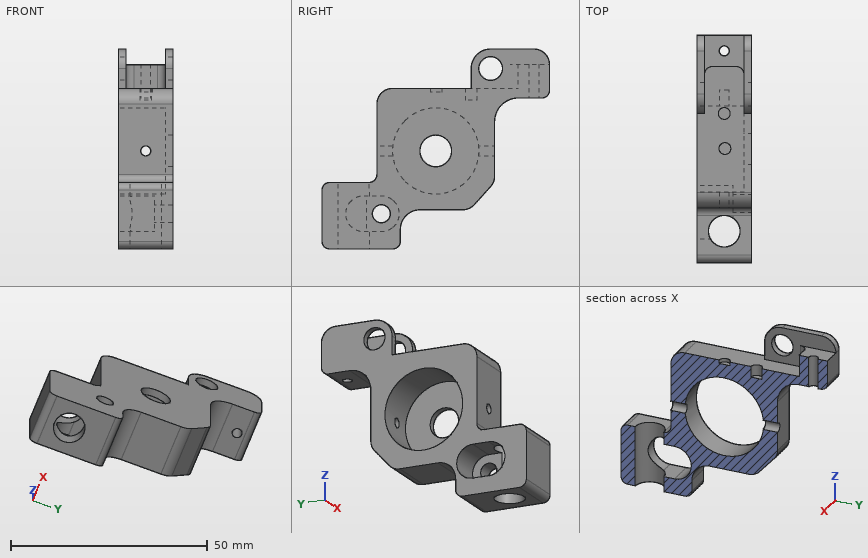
import cadquery as cq

width = 14.0
length = 58.0
height = 51.0

small_radius = 2.0
large_radius = 4.0

body_front = 14.0
body_back = 44.0
body_bottom = 10.0
body_top = 40.95
chamfer_y = 6.4
chamfer_z = 7.1

block_back = 20.0
block_top = 17.0
block_blend_radius = 5.0

fork_front = 38.0
fork_bottom = 38.45
fork_nose_radius = 5.0
fork_blend_radius = 6.0
ear_thickness = 2.0
web_front = 50.0
web_top = 47.0
pin_diameter = 6.0
pin_y = 43.0
pin_z = 46.0

bore_y = 29.0
bore_z = 25.0
bore_diameter = 22.0
bore_depth = 12.0
shaft_diameter = 8.0

slot_front_y = 10.6
slot_back_y = 15.15
slot_z = 9.0
slot_diameter = 9.1
slot_depth = 9.3
slot_screw_diameter = 4.5
post_y = 8.05
post_diameter = 8.0

cross_diameter = 2.5
web_hole_y = 54.0
top_hole_diameter = 3.0
deep_hole_depth = 3.0
shallow_hole_depth = 1.0
top_holes = [(0, 38.05, deep_hole_depth), (0.2, 29.1, shallow_hole_depth)]


def hole_x(y, z, diameter, depth):
    """Cylinder entering from the -X face."""
    plane = cq.Workplane("YZ", origin=(-width / 2, 0, 0))
    return plane.center(y, z).circle(diameter / 2).extrude(depth)


def hole_z(x, y, diameter, bottom, top):
    """Vertical cylinder between two heights."""
    plane = cq.Workplane("XY", origin=(x, y, bottom))
    return plane.circle(diameter / 2).extrude(top - bottom)


corners = [
    (0, 0, small_radius),
    (0, block_top, small_radius),
    (body_front, block_top, small_radius),
    (body_front, body_top, large_radius),
    (fork_front, body_top, 0),
    (fork_front, height, fork_nose_radius),
    (length, height, large_radius),
    (length, fork_bottom, small_radius),
    (body_back, fork_bottom, fork_blend_radius),
    (body_back, body_bottom + chamfer_z, large_radius),
    (body_back - chamfer_y, body_bottom, large_radius),
    (block_back, body_bottom, block_blend_radius),
    (block_back, 0, small_radius),
]
outline = [(y, z) for y, z, radius in corners]
part = cq.Workplane("YZ").polyline(outline).close().extrude(width / 2, both=True)
for y, z, radius in corners:
    if radius > 0:
        edge = part.edges(cq.selectors.NearestToPointSelector((0, y, z)))
        part = edge.fillet(radius)

gap = width - 2 * ear_thickness
pocket = (
    cq.Workplane("XY", origin=(0, 0, body_top))
    .rect(gap, 2 * (web_front - fork_front))
    .extrude(height - body_top)
    .edges("|Z and >Y")
    .fillet(small_radius)
    .translate((0, fork_front, 0))
)
clearance = cq.Workplane("XY").box(
    gap, length - fork_front, height - web_top, centered=(True, False, False)
).translate((0, fork_front, web_top))
part = part.cut(pocket).cut(clearance)

part = part.cut(hole_x(pin_y, pin_z, pin_diameter, width))

part = part.cut(hole_x(bore_y, bore_z, bore_diameter, bore_depth))
part = part.cut(hole_x(bore_y, bore_z, shaft_diameter, width))

slot = (
    cq.Workplane("YZ", origin=(-width / 2, 0, 0))
    .center((slot_front_y + slot_back_y) / 2, slot_z)
    .slot2D(slot_back_y - slot_front_y + slot_diameter, slot_diameter)
    .extrude(slot_depth)
)
part = part.cut(slot)
part = part.cut(hole_x(slot_back_y, slot_z, slot_screw_diameter, width))
part = part.cut(hole_z(0, post_y, post_diameter, 0, block_top))

cross_hole = (
    cq.Workplane("XZ", origin=(0, length, bore_z)).circle(cross_diameter / 2).extrude(length)
)
part = part.cut(cross_hole)

part = part.cut(hole_z(0, web_hole_y, cross_diameter, fork_bottom, height))
for x, y, depth in top_holes:
    part = part.cut(hole_z(x, y, top_hole_diameter, body_top - depth, body_top))

result = part